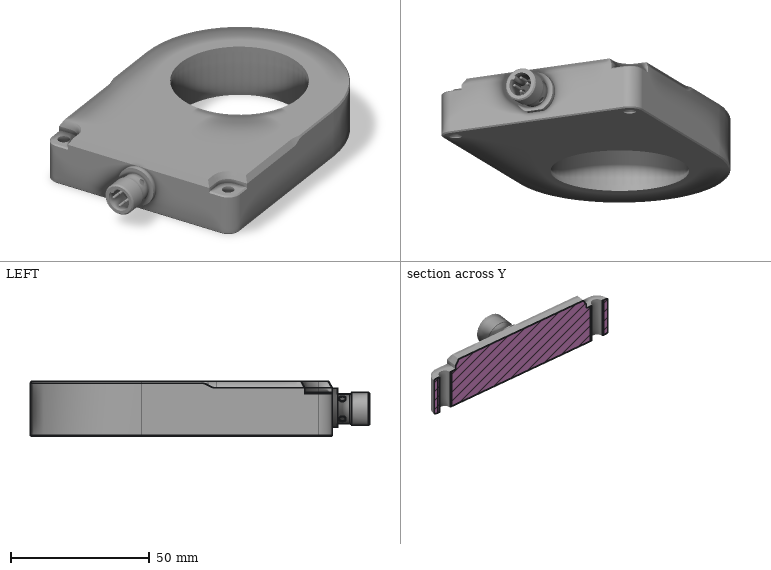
import cadquery as cq
import math

WIDTH = 80.0
HEIGHT = 20.0
LENGTH = 109.0
OVERALL_LENGTH = 122.5
BORE_DIAMETER = 50.1
CORNER_RADIUS = 5.0
END_RADIUS = WIDTH / 2
SQUARE_END_Y = END_RADIUS - LENGTH

BEVEL_ANGLE = 30.0
TOP_BEVEL_HEIGHT = 2.5
SMALL_BEVEL_HEIGHT = 0.7
PLATE_CHAMFER = 0.5
BEVEL_SLOPE = math.tan(math.radians(BEVEL_ANGLE))
BEVEL_BASE_Z = HEIGHT - TOP_BEVEL_HEIGHT

COVER_OVERHANG = (TOP_BEVEL_HEIGHT - SMALL_BEVEL_HEIGHT) * BEVEL_SLOPE
BLEND_START_Y = -27.1
BLEND_LENGTH = 5.1

SCREW_X = END_RADIUS - CORNER_RADIUS
SCREW_Y = SQUARE_END_Y + CORNER_RADIUS
POCKET_RADIUS = 4.9
POCKET_DEPTH = 4.0
POCKET_FLOOR_Z = HEIGHT - POCKET_DEPTH

SLEEVE_BORE_DIAMETER = 4.5
SLEEVE_DIAMETER = 6.1

CONNECTOR_Z = HEIGHT / 2
CONNECTOR_LENGTH = OVERALL_LENGTH - LENGTH
FLANGE_DIAMETER = 15.0
FLANGE_LENGTH = 2.0
FLANGE_FLAT_DROP = 6.7
NECK_DIAMETER = 10.8
NECK_END = 6.4
COLLAR_DIAMETER = 11.3
NUT_START = 7.0
NUT_DIAMETER = 12.0
NUT_CHAMFER = 0.5
SOCKET_DIAMETER = 8.6
SOCKET_DEPTH = 8.6
NECK_HOLE_DIAMETER = 2.5
NECK_HOLE_DISTANCE = 3.7
NECK_HOLE_DEPTH = 0.5
PIN_DIAMETER = 1.0
PIN_CIRCLE_RADIUS = 2.6
PIN_SETBACK = 0.2
PIN_TIP_CHAMFER = 0.2
KEY_RADIUS = 1.0
KEY_ANGLE = 135.0


def plate_outline(z):
    """Outline of the whole housing, on the level z."""
    corner_offset = CORNER_RADIUS * math.sqrt(0.5)
    return (
        cq.Workplane("XY", origin=(0, 0, z))
        .moveTo(END_RADIUS, 0)
        .threePointArc((0, END_RADIUS), (-END_RADIUS, 0))
        .lineTo(-END_RADIUS, SCREW_Y)
        .threePointArc(
            (-SCREW_X - corner_offset, SCREW_Y - corner_offset), (-SCREW_X, SQUARE_END_Y)
        )
        .lineTo(SCREW_X, SQUARE_END_Y)
        .threePointArc((SCREW_X + corner_offset, SCREW_Y - corner_offset), (END_RADIUS, SCREW_Y))
        .close()
    )


def cover_outline(z):
    """Outline of the raised cover at the foot of its bevel, on the level z."""
    outer = END_RADIUS + COVER_OVERHANG
    blend_end_y = BLEND_START_Y + BLEND_LENGTH
    blend_mid = (END_RADIUS + COVER_OVERHANG / 2, BLEND_START_Y + BLEND_LENGTH / 2)
    pocket_offset = POCKET_RADIUS * math.sqrt(0.5)
    pocket_top_y = SCREW_Y + POCKET_RADIUS
    pocket_inner_x = SCREW_X - POCKET_RADIUS
    return (
        cq.Workplane("XY", origin=(0, 0, z))
        .moveTo(outer, 0)
        .threePointArc((0, outer), (-outer, 0))
        .lineTo(-outer, blend_end_y)
        .tangentArcPoint((-blend_mid[0], blend_mid[1]), relative=False)
        .tangentArcPoint((-END_RADIUS, BLEND_START_Y), relative=False)
        .lineTo(-END_RADIUS, pocket_top_y)
        .lineTo(-SCREW_X, pocket_top_y)
        .threePointArc(
            (-SCREW_X + pocket_offset, SCREW_Y + pocket_offset), (-pocket_inner_x, SCREW_Y)
        )
        .lineTo(-pocket_inner_x, SQUARE_END_Y)
        .lineTo(pocket_inner_x, SQUARE_END_Y)
        .lineTo(pocket_inner_x, SCREW_Y)
        .threePointArc((SCREW_X - pocket_offset, SCREW_Y + pocket_offset), (SCREW_X, pocket_top_y))
        .lineTo(END_RADIUS, pocket_top_y)
        .lineTo(END_RADIUS, BLEND_START_Y)
        .tangentArcPoint(blend_mid, relative=False)
        .tangentArcPoint((outer, blend_end_y), relative=False)
        .close()
    )


def make_plate():
    """Lower part of the housing, up to the pocket floors, chamfered below and above."""
    plate = plate_outline(0).extrude(POCKET_FLOOR_Z)
    return plate.faces("<Z or >Z").chamfer(PLATE_CHAMFER)


def make_cover():
    """Upper part of the housing: straight pocket walls, then the bevel up to the top face."""
    foot_z = POCKET_FLOOR_Z - 2 * PLATE_CHAMFER
    walls = cover_outline(foot_z).extrude(BEVEL_BASE_Z - foot_z)
    bevel = cover_outline(BEVEL_BASE_Z).extrude(TOP_BEVEL_HEIGHT, taper=BEVEL_ANGLE)
    return walls.union(bevel).intersect(plate_outline(0).extrude(HEIGHT))


def cylinder_along_y(diameter, start, end, x=0.0, z=0.0):
    """Cylinder on the connector axis, between two distances out from the end face."""
    return (
        cq.Workplane("XZ", origin=(x, SQUARE_END_Y - start, CONNECTOR_Z + z))
        .circle(diameter / 2)
        .extrude(end - start)
    )


def make_flange():
    """Round flange with a flat on its underside."""
    flange = cylinder_along_y(FLANGE_DIAMETER, 0, FLANGE_LENGTH)
    keep_height = FLANGE_DIAMETER / 2 + FLANGE_FLAT_DROP
    keep = cq.Workplane("XY").box(
        FLANGE_DIAMETER, FLANGE_LENGTH, keep_height, centered=(True, False, False)
    )
    keep_corner = (0, SQUARE_END_Y - FLANGE_LENGTH, CONNECTOR_Z - FLANGE_FLAT_DROP)
    return flange.intersect(keep.translate(keep_corner))


def cut_neck_holes(connector):
    """Four blind holes drilled into the neck towards its axis, on the diagonals."""
    hole_y = SQUARE_END_Y - NECK_HOLE_DISTANCE
    floor_radius = NECK_DIAMETER / 2 - NECK_HOLE_DEPTH
    for angle in (45, 135, 225, 315):
        hole = (
            cq.Workplane("XY", origin=(0, hole_y, floor_radius))
            .circle(NECK_HOLE_DIAMETER / 2)
            .extrude(NECK_DIAMETER / 2)
            .rotate((0, 0, 0), (0, 1, 0), angle)
            .translate((0, 0, CONNECTOR_Z))
        )
        connector = connector.cut(hole)
    return connector


def make_connector():
    """Flange, neck, collar and nut with an open socket that holds four pins and a key."""
    socket_floor = CONNECTOR_LENGTH - SOCKET_DEPTH
    neck = cylinder_along_y(NECK_DIAMETER, 0, NECK_END)
    collar = cq.Workplane(
        cq.Solid.makeCone(
            NECK_DIAMETER / 2,
            COLLAR_DIAMETER / 2,
            NUT_START - NECK_END,
            pnt=cq.Vector(0, SQUARE_END_Y - NECK_END, CONNECTOR_Z),
            dir=cq.Vector(0, -1, 0),
        )
    )
    nut = cylinder_along_y(NUT_DIAMETER, NUT_START, CONNECTOR_LENGTH)
    nut = nut.faces("<Y").chamfer(NUT_CHAMFER)
    connector = make_flange().union(neck).union(collar).union(nut)
    socket = cylinder_along_y(SOCKET_DIAMETER, socket_floor, CONNECTOR_LENGTH)
    key = cylinder_along_y(
        2 * KEY_RADIUS,
        socket_floor,
        CONNECTOR_LENGTH,
        x=SOCKET_DIAMETER / 2 * math.cos(math.radians(KEY_ANGLE)),
        z=SOCKET_DIAMETER / 2 * math.sin(math.radians(KEY_ANGLE)),
    )
    connector = cut_neck_holes(connector).cut(socket.cut(key))
    for angle in (0, 90, 180, 270):
        pin = cylinder_along_y(
            PIN_DIAMETER,
            socket_floor,
            CONNECTOR_LENGTH - PIN_SETBACK,
            x=PIN_CIRCLE_RADIUS * math.cos(math.radians(angle)),
            z=PIN_CIRCLE_RADIUS * math.sin(math.radians(angle)),
        )
        connector = connector.union(pin.faces("<Y").chamfer(PIN_TIP_CHAMFER))
    return connector


def make_housing():
    """Plate, cover and connector in one solid, with the large bore and the sleeve holes."""
    bore = cq.Workplane("XY").circle(BORE_DIAMETER / 2).extrude(HEIGHT)
    sleeve_holes = (
        cq.Workplane("XY")
        .pushPoints([(-SCREW_X, SCREW_Y), (SCREW_X, SCREW_Y)])
        .circle(SLEEVE_DIAMETER / 2)
        .extrude(POCKET_FLOOR_Z)
    )
    plate = make_plate().union(make_cover()).cut(bore).cut(sleeve_holes)
    return plate.union(make_connector())


def make_sleeve(x):
    """Plain tube through a screw hole, flush with the pocket floor and the underside."""
    return (
        cq.Workplane("XY", origin=(x, SCREW_Y, 0))
        .circle(SLEEVE_DIAMETER / 2)
        .circle(SLEEVE_BORE_DIAMETER / 2)
        .extrude(POCKET_FLOOR_Z)
    )


housing = make_housing()
sleeves = [make_sleeve(x) for x in (-SCREW_X, SCREW_X)]

result = cq.Compound.makeCompound([housing.val(), *[sleeve.val() for sleeve in sleeves]])